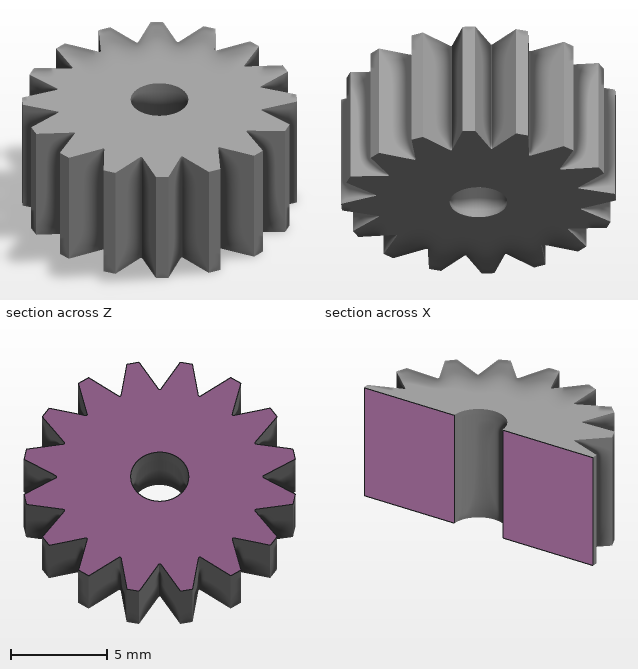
import cadquery as cq
import math

tooth_count = 16
tip_to_tip = 14.27
face_width = 6.35
bore_diameter = 3.0
tip_width = 0.65
base_width = 2.03
base_distance = 5.28

tip_distance = tip_to_tip / 2
pitch_angle = 2 * math.pi / tooth_count


def tooth_corners(angle):
    """Corners of one tooth, anticlockwise, pointing outward at the given angle."""
    corners = [
        (base_distance, -base_width / 2),
        (tip_distance, -tip_width / 2),
        (tip_distance, tip_width / 2),
        (base_distance, base_width / 2),
    ]
    return [
        (
            outward * math.cos(angle) - sideways * math.sin(angle),
            outward * math.sin(angle) + sideways * math.cos(angle),
        )
        for outward, sideways in corners
    ]


outline = []
for tooth in range(tooth_count):
    outline.extend(tooth_corners(tooth * pitch_angle))

gear_blank = cq.Workplane("XY").polyline(outline).close().extrude(face_width)

result = gear_blank.faces(">Z").workplane(origin=(0, 0, 0)).hole(bore_diameter)